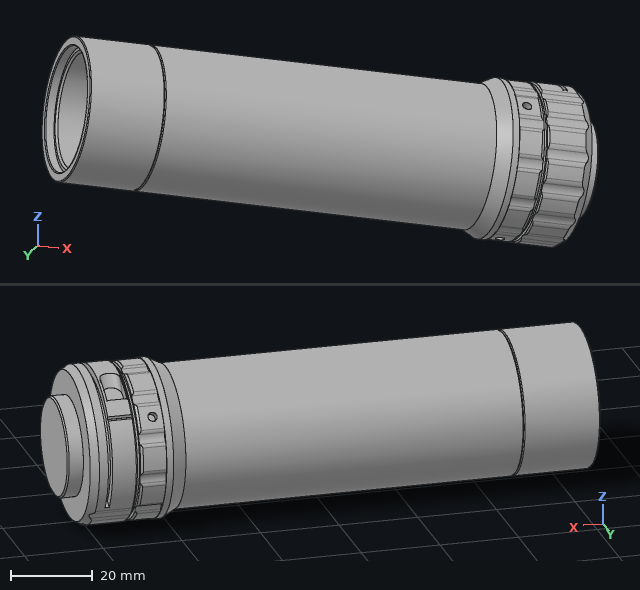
import cadquery as cq
import math

total_length = 134.0
barrel_radius = 18.1
head_radius = 20.0
edge_break = 0.3

line_x = 19.2
line_width = 0.5
line_depth = 0.3

mouth_radius = 15.7
mouth_depth = 2.4
mouth_chamfer = 0.3
bore_radius = 14.3
bore_chamfer = 0.5

cone_start = 105.5
collar_start = 109.1
grip_start = 110.8
gap_start = 117.4
gap_end = 118.2
head_end = 130.0
bore_floor = cone_start
grip_radius = head_radius - 0.1
grip_chamfer_length = 0.7
gap_radius = 18.6
adjuster_break = 0.4
adjuster_chamfer_length = 2.0
adjuster_chamfer_height = 1.2
spigot_radius = 12.6
spigot_chamfer = 0.4

flute_depth = 0.6
flute_floor_half_width = 1.2
flute_floor_sag = 0.3
flute_shoulder_crown = 0.1
grip_flute_half_width = 2.3
grip_flute_count = 12
grip_flute_angle = 20.7
adjuster_flute_half_width = 2.7
adjuster_flute_count = 8
adjuster_first_flute = 142.0
adjuster_flute_pitch = 25.0

screw_x = 113.4
screw_diameter = 2.3
screw_depth = 2.0
screw_count = 3
screw_angle = 36.0

slit_start_x = 124.6
slit_width = 1.1
slit_radius = 18.0
slit_first_angle = -32.0
slit_last_angle = 130.0
mark_angle = 37.5
mark_width = 1.1
mark_depth = 0.5

pocket_x = 121.4
pocket_width = 5.1
pocket_straight_end = -4.3
pocket_floor_end = 1.9
pocket_angle = 64.0
pocket_floor_radius = 17.3
pocket_end_run = 1.4

clearance = 2.7


def turned_body():
    """Barrel and head with the blind bore, revolved about X."""
    outline = [
        (bore_floor, 0),
        (bore_floor, bore_radius),
        (mouth_depth + bore_chamfer, bore_radius),
        (mouth_depth, bore_radius + bore_chamfer),
        (mouth_depth, mouth_radius),
        (mouth_chamfer, mouth_radius),
        (0, mouth_radius + mouth_chamfer),
        (0, barrel_radius - edge_break),
        (edge_break, barrel_radius),
        (line_x, barrel_radius),
        (line_x + line_width / 2, barrel_radius - line_depth),
        (line_x + line_width, barrel_radius),
        (cone_start, barrel_radius),
        (collar_start, head_radius),
        (grip_start, head_radius),
        (grip_start, grip_radius),
        (gap_start - grip_chamfer_length, grip_radius),
        (gap_start, grip_radius - edge_break),
        (gap_start, gap_radius),
        (gap_end, gap_radius),
        (gap_end, head_radius - adjuster_break),
        (gap_end + adjuster_break, head_radius),
        (head_end - adjuster_chamfer_length, head_radius),
        (head_end, head_radius - adjuster_chamfer_height),
        (head_end, spigot_radius),
        (total_length - spigot_chamfer, spigot_radius),
        (total_length, spigot_radius - spigot_chamfer),
        (total_length, 0),
    ]
    return cq.Workplane("XY").polyline(outline).close().revolve(360, (0, 0, 0), (1, 0, 0))


def turn(shape, angle):
    """Swing a shape about the barrel axis, +Y towards +Z."""
    return shape.rotate((0, 0, 0), (1, 0, 0), angle)


def flute(start, end, radius, half_width):
    """Concave flute with rounded shoulders, cut into the +Y side."""
    floor = radius - flute_depth
    floor_edge = floor + flute_floor_sag
    rim = math.sqrt(radius**2 - half_width**2)
    top = radius + clearance
    shoulder = (half_width + flute_floor_half_width) / 2
    shoulder_y = (floor_edge + rim) / 2 + flute_shoulder_crown
    return (
        cq.Workplane("YZ", origin=(start, 0, 0))
        .moveTo(top, -half_width)
        .lineTo(rim, -half_width)
        .threePointArc((shoulder_y, -shoulder), (floor_edge, -flute_floor_half_width))
        .threePointArc((floor, 0), (floor_edge, flute_floor_half_width))
        .threePointArc((shoulder_y, shoulder), (rim, half_width))
        .lineTo(top, half_width)
        .close()
        .extrude(end - start)
    )


def slit():
    """Ring sector swept from the first to the last slit angle."""
    section = (
        cq.Workplane("XY")
        .moveTo(slit_start_x, slit_radius)
        .rect(slit_width, clearance * 2, centered=False)
    )
    sweep = slit_last_angle - slit_first_angle
    return turn(section.revolve(sweep, (0, 0, 0), (1, 0, 0)), slit_first_angle)


def index_mark():
    """V groove across the adjusting ring, from the gap to the slit."""
    return (
        cq.Workplane("YZ", origin=(gap_end, 0, 0))
        .moveTo(head_radius - mark_depth, 0)
        .lineTo(head_radius, -mark_width / 2)
        .lineTo(head_radius + mark_depth, 0)
        .lineTo(head_radius, mark_width / 2)
        .close()
        .extrude(slit_start_x - gap_end)
    )


def screw_hole():
    """Radial blind hole in the +Y side of the grip ring."""
    return (
        cq.Workplane("XZ", origin=(screw_x, grip_radius - screw_depth, 0))
        .circle(screw_diameter / 2)
        .extrude(-(screw_depth + clearance))
    )


def pocket():
    """Flat-floored pocket whose round end slopes outwards, on the -Y side once turned into place."""
    half = pocket_width / 2
    height = head_radius + clearance - pocket_floor_radius
    floor_centre = pocket_floor_end - half
    rim_centre = floor_centre + height * pocket_end_run
    tool = cq.Workplane("XZ", origin=(pocket_x, pocket_floor_radius, 0))
    for offset, centre in ((0, floor_centre), (-height, rim_centre)):
        tool = (
            tool.workplane(offset=offset)
            .moveTo(-half, pocket_straight_end)
            .lineTo(half, pocket_straight_end)
            .lineTo(half, centre)
            .threePointArc((0, centre + half), (-half, centre))
            .close()
        )
    return tool.loft(ruled=True)


result = turned_body()

grip_flute = flute(grip_start, gap_start, grip_radius, grip_flute_half_width)
for i in range(grip_flute_count):
    result = result.cut(turn(grip_flute, grip_flute_angle + i * 360 / grip_flute_count))

adjuster_flute = flute(gap_end, head_end, head_radius, adjuster_flute_half_width)
for i in range(adjuster_flute_count):
    result = result.cut(turn(adjuster_flute, adjuster_first_flute + i * adjuster_flute_pitch))

for i in range(screw_count):
    result = result.cut(turn(screw_hole(), screw_angle + i * 360 / screw_count))

result = result.cut(slit())
result = result.cut(turn(index_mark(), mark_angle))
result = result.cut(turn(pocket(), pocket_angle))